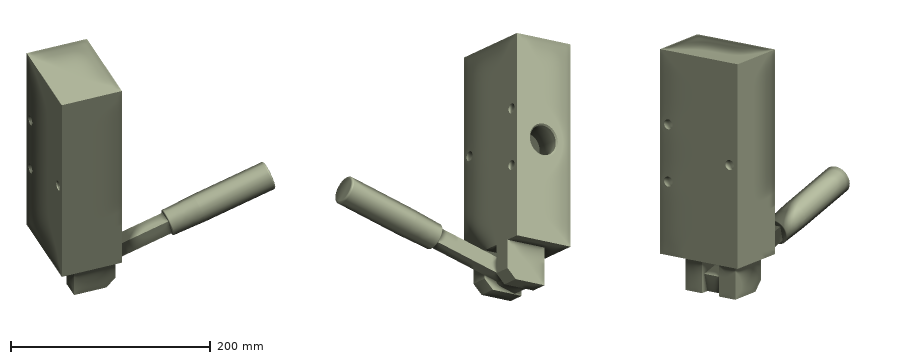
import cadquery as cq
import math

block_width = 95.0
block_depth = 65.0
total_height = 254.0
lug_height = 40.0
block_height = total_height - lug_height
block_mid_z = lug_height + block_height / 2

lugs_width = 61.0
lugs_depth = 45.0
lug_chamfer = 10.0
slot_width = 20.8

mount_hole_diameter = 10.5
mount_hole_x = 37.5
mount_hole_z_offset = 30.0

port_diameter = 31.0
port_depth = 30.5
port_chamfer = 1.5

lever_angle = 15.0
lever_axis_z = 20.3
bar_size = 16.0
head_end = -40.1
head_size = 19.8
head_straight_length = 17.3

grip_tip = 184.7
grip_diameter = 30.0
grip_length = 114.3
grip_straight_length = 80.0
grip_neck_diameter = 28.0
grip_tip_fillet = 2.0
grip_neck_fillet = 1.0


def make_block():
    return (
        cq.Workplane("XY", origin=(0, block_depth / 2, lug_height))
        .rect(block_width, block_depth)
        .extrude(block_height)
    )


def make_lugs():
    lugs = (
        cq.Workplane("XY", origin=(0, block_depth - lugs_depth / 2, 0))
        .rect(lugs_width, lugs_depth)
        .extrude(lug_height)
        .edges(">Y and <Z")
        .chamfer(lug_chamfer)
    )
    slot = (
        cq.Workplane("XY", origin=(0, block_depth - lugs_depth / 2, 0))
        .rect(slot_width, lugs_depth)
        .extrude(lug_height)
    )
    return lugs.cut(slot)


def make_mount_holes():
    centres = [
        (-mount_hole_x, mount_hole_z_offset),
        (-mount_hole_x, -mount_hole_z_offset),
        (mount_hole_x, 0),
    ]
    return (
        cq.Workplane("XZ", origin=(0, 0, block_mid_z))
        .pushPoints(centres)
        .circle(mount_hole_diameter / 2)
        .extrude(-block_depth)
    )


def make_port():
    """Bore with a countersunk mouth, turned about an axis along X."""
    radius = port_diameter / 2
    return (
        cq.Workplane("XY", origin=(-block_width / 2, block_depth / 2, block_mid_z))
        .moveTo(0, 0)
        .lineTo(0, radius + port_chamfer)
        .lineTo(port_chamfer, radius)
        .lineTo(port_depth, radius)
        .lineTo(port_depth, 0)
        .close()
        .revolve(360, (0, 0, 0), (1, 0, 0))
    )


def make_housing():
    return make_block().union(make_lugs()).cut(make_mount_holes()).cut(make_port())


def lever_plane(distance):
    """Workplane square to the lever axis; local x is X, local y points up."""
    angle = math.radians(lever_angle)
    direction = (0, math.cos(angle), math.sin(angle))
    origin = (
        0,
        block_depth + distance * direction[1],
        lever_axis_z + distance * direction[2],
    )
    return cq.Workplane(cq.Plane(origin=origin, xDir=(-1, 0, 0), normal=direction))


def make_bar():
    grip_start = grip_tip - grip_length
    return lever_plane(head_end).rect(bar_size, bar_size).extrude(grip_start - head_end)


def make_head():
    """Square block between the lugs, rounded over where it runs into the bar."""
    block = lever_plane(head_end).rect(head_size, head_size).extrude(head_straight_length)
    angle = math.radians(lever_angle)
    round_centre = head_end + head_straight_length
    round_y = block_depth + round_centre * math.cos(angle)
    round_z = lever_axis_z + round_centre * math.sin(angle)
    rounded_back = (
        cq.Workplane("YZ", origin=(0, round_y, round_z))
        .circle(head_size / 2)
        .extrude(head_size / 2, both=True)
    )
    return block.union(rounded_back)


def make_grip():
    taper_length = grip_length - grip_straight_length
    neck = (
        lever_plane(grip_tip - grip_length)
        .circle(grip_neck_diameter / 2)
        .workplane(offset=taper_length)
        .circle(grip_diameter / 2)
        .loft(ruled=True)
        .faces("<Y")
        .edges()
        .fillet(grip_neck_fillet)
    )
    handle = (
        lever_plane(grip_tip - grip_straight_length)
        .circle(grip_diameter / 2)
        .extrude(grip_straight_length)
        .faces(">Y")
        .edges()
        .fillet(grip_tip_fillet)
    )
    return neck.union(handle)


def make_lever():
    return make_bar().union(make_head()).union(make_grip())


housing = make_housing()
lever = make_lever()

result = cq.Compound.makeCompound([*housing.solids().vals(), *lever.solids().vals()])